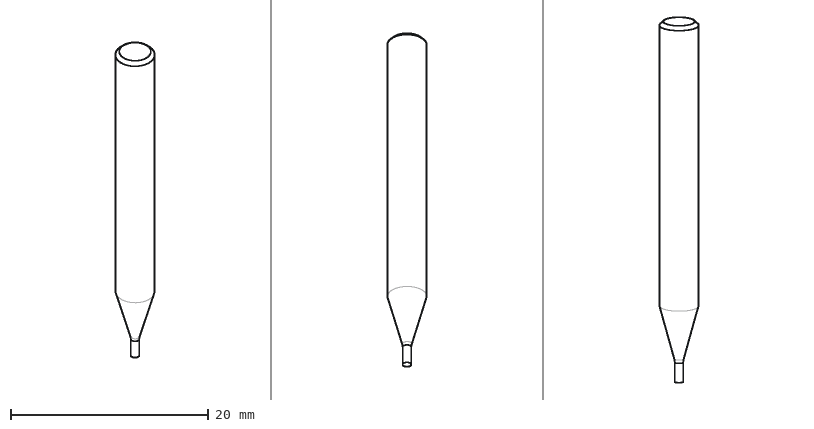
import cadquery as cq
import math

total_length = 38.0
shank_radius = 4.0 / 2
tip_radius = 0.9 / 2
tip_length = 2.05
end_chamfer = 0.4

cone_half_angle = math.radians(15)
flare_radius = 1.5

flare_top_radius = tip_radius + flare_radius * (1 - math.cos(cone_half_angle))
flare_top_z = tip_length + flare_radius * math.sin(cone_half_angle)
cone_top_z = flare_top_z + (shank_radius - flare_top_radius) / math.tan(cone_half_angle)


def flare_point(angle):
    """Point (radius, z) on the flare arc where its slope leans by the angle from the axis."""
    radius = tip_radius + flare_radius * (1 - math.cos(angle))
    z = tip_length + flare_radius * math.sin(angle)
    return radius, z


def make_tip():
    """Plain cylinder that stands on the origin and meets the shank at its upper face."""
    return cq.Workplane("XY").circle(tip_radius).extrude(tip_length)


def make_shank():
    """Flared and conical neck with the straight shank, chamfered at its far end."""
    half_profile = (
        cq.Workplane("XZ")
        .moveTo(0, tip_length)
        .lineTo(tip_radius, tip_length)
        .threePointArc(flare_point(cone_half_angle / 2), flare_point(cone_half_angle))
        .lineTo(shank_radius, cone_top_z)
        .lineTo(shank_radius, total_length)
        .lineTo(0, total_length)
        .close()
    )
    shank = half_profile.revolve(360, (0, 0, 0), (0, 1, 0))
    return shank.faces(">Z").edges().chamfer(end_chamfer)


tip = make_tip()
shank = make_shank()
result = cq.Compound.makeCompound([tip.val(), shank.val()])